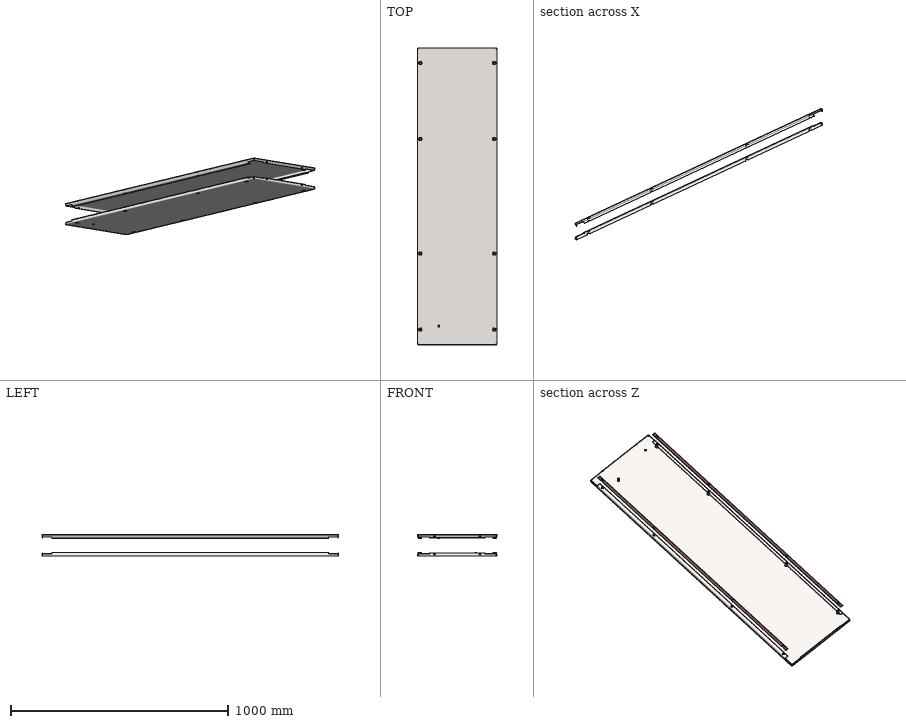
import cadquery as cq
import math

width = 366.0
length = 1366.0
stack_height = 100.0

sheet = 1.1
bend_radius = 3.0
lean = math.radians(13)

flange_depth = 11.6
tongue_depth = 15.0
tongue_width = 254.0
rail_depth = 18.0
rail_length = 1274.0
lip_width = 18.0

fixing_x = 171.0
fixing_ys = (-614.0, -264.0, 264.0, 614.0)
plate_hole_diameter = 14.0
lip_hole_diameter = 10.0

tongue_hole_x = 105.0
tongue_hole_depth = 11.0
tongue_hole_diameter = 7.0

stud_x = -85.0
stud_y = -597.0
stud_diameter = 8.0
stud_tip_depth = 18.0

flat_width = width - 2 * bend_radius
flat_length = length - 2 * bend_radius
inner_radius = bend_radius - sheet
sides = (-1, 1)


def around(center, radius, angle):
    """Point at a radius from a bend centre, with the angle measured down from outward."""
    return (center[0] + radius * math.cos(angle), center[1] - radius * math.sin(angle))


def down_wall(point, height):
    """Point reached by following a leaning wall from a point down to a height."""
    return (point[0] - (point[1] - height) * math.tan(lean), height)


def upper_bend(edge):
    """Bend centre, outer wall start and inner wall start for a plate ending at edge."""
    center = (edge - bend_radius, -bend_radius)
    return center, around(center, bend_radius, lean), around(center, inner_radius, lean)


def flange_outline(edge, depth):
    """Section of a plain flange: a bend at the plate edge and a leaning wall."""
    center, outer_start, inner_start = upper_bend(edge)
    outer_end = down_wall(outer_start, -depth)
    inner_end = (
        outer_end[0] - sheet * math.cos(lean),
        outer_end[1] + sheet * math.sin(lean),
    )
    return (
        cq.Workplane("XZ")
        .moveTo(center[0], 0)
        .threePointArc((edge, -bend_radius), outer_start)
        .lineTo(*outer_end)
        .lineTo(*inner_end)
        .lineTo(*inner_start)
        .threePointArc((center[0] + inner_radius, center[1]), (center[0], -sheet))
        .close()
    )


def rail_outline(edge):
    """Section of a rail: the leaning wall ends in a second bend and a level lip."""
    center, outer_start, inner_start = upper_bend(edge)
    lip_center = down_wall(center, bend_radius - rail_depth)
    lip_end = edge - lip_width
    lip_middle = (lean + math.pi / 2) / 2
    return (
        cq.Workplane("XZ")
        .moveTo(center[0], 0)
        .threePointArc((edge, -bend_radius), outer_start)
        .lineTo(*around(lip_center, bend_radius, lean))
        .threePointArc(around(lip_center, bend_radius, lip_middle), (lip_center[0], -rail_depth))
        .lineTo(lip_end, -rail_depth)
        .lineTo(lip_end, sheet - rail_depth)
        .lineTo(lip_center[0], sheet - rail_depth)
        .threePointArc(
            around(lip_center, inner_radius, lip_middle),
            around(lip_center, inner_radius, lean),
        )
        .lineTo(*inner_start)
        .threePointArc((center[0] + inner_radius, center[1]), (center[0], -sheet))
        .close()
    )


def on_both_sides(solid, turn):
    """A +X side feature turned about Z to its edge, and its copy on the opposite edge."""
    first = solid.rotate((0, 0, 0), (0, 0, 1), turn)
    return first.union(first.rotate((0, 0, 0), (0, 0, 1), 180))


def side_rails():
    """Long side flanges, deepened into lipped rails except near the plate ends."""
    flange = flange_outline(width / 2, flange_depth).extrude(flat_length / 2, both=True)
    rail = rail_outline(width / 2).extrude(rail_length / 2, both=True)
    return on_both_sides(flange.union(rail), 0)


def end_flanges():
    """Short end flanges, each with a deeper tongue in its middle."""
    flange = flange_outline(length / 2, flange_depth).extrude(flat_width / 2, both=True)
    tongue = flange_outline(length / 2, tongue_depth).extrude(tongue_width / 2, both=True)
    return on_both_sides(flange.union(tongue), 90)


def fixing_holes():
    """Cutter for the fixing holes, wider in the plate than in the lips."""
    points = [(side * fixing_x, y) for side in sides for y in fixing_ys]
    centers = cq.Workplane("XY").pushPoints(points)
    in_plate = centers.circle(plate_hole_diameter / 2).extrude(-sheet)
    in_lips = centers.circle(lip_hole_diameter / 2).extrude(-rail_depth)
    return in_plate.union(in_lips)


def tongue_holes():
    """Cutter for the holes through both end tongues."""
    points = [(side * tongue_hole_x, -tongue_hole_depth) for side in sides]
    centers = cq.Workplane("XZ").pushPoints(points)
    return centers.circle(tongue_hole_diameter / 2).extrude(length / 2, both=True)


def earth_stud():
    """Stud standing on the inner face of the plate."""
    plane = cq.Workplane("XY", origin=(stud_x, stud_y, -sheet))
    return plane.circle(stud_diameter / 2).extrude(sheet - stud_tip_depth)


def cover_panel():
    """Cover with its outer face up at Z = 0 and its flanges hanging down."""
    plate = cq.Workplane("XY").rect(flat_width, flat_length).extrude(-sheet)
    panel = plate.union(side_rails()).union(end_flanges())
    return panel.cut(fixing_holes()).cut(tongue_holes()).union(earth_stud())


upper_panel = cover_panel().translate((0, 0, stack_height / 2))
lower_panel = upper_panel.rotate((0, 0, 0), (0, 1, 0), 180)

result = cq.Compound.makeCompound([upper_panel.val(), lower_panel.val()])